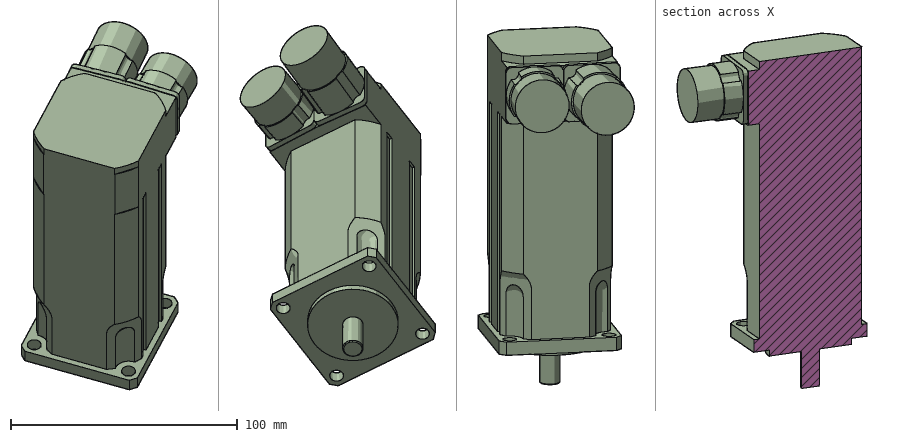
import cadquery as cq
import math

total_length = 155.0
shaft_length = 20.0
shaft_diameter = 9.0
shaft_chamfer = 0.5
pilot_diameter = 40.0
pilot_height = 2.8

flange_width = 55.0
flange_thickness = 6.0
flange_chamfer = 2.8
bolt_offset = 22.3
bolt_hole_diameter = 6.0

case_width = 49.8
case_corner_radius = 29.9

relief_radius = 28.0
relief_height = 22.6
relief_runout_radius = 15.0
bolt_slot_radius = 6.0
bolt_slot_height = 19.0

groove_width = 3.9
groove_depth = 1.1
groove_offset = 9.5

cap_thickness = 3.7
head_height = 25.4
head_chamfer = 8.0
head_reach = 30.2
face_tilt = 2.0

connector_width = 25.5
connector_depth = 16.1
plate_thickness = 2.3
plate_corner_radius = 2.5
barrel_diameter = 24.0
notch_radius = 2.8
notch_offset = 10.0
left_base_length = 15.3
left_barrel_length = 16.1
right_base_length = 8.8
right_barrel_length = 12.5

case_top = total_length - shaft_length
head_top = case_top - cap_thickness
head_bottom = head_top - head_height
connector_z = case_top - connector_depth
tilt = math.radians(face_tilt)


def corner_points(offset):
    return [(sx * offset, sy * offset) for sx in (-1, 1) for sy in (-1, 1)]


def case_prism(bottom, top):
    """Square prism whose corners are rounded about the shaft axis."""
    height = top - bottom
    square = cq.Workplane("XY", origin=(0, 0, bottom)).rect(case_width, case_width).extrude(height)
    round_bar = cq.Workplane("XY", origin=(0, 0, bottom)).circle(case_corner_radius).extrude(height)
    return square.intersect(round_bar)


def corner_relief():
    """Ring that trims the case corners and runs out upward along an arc."""
    outer = relief_radius + relief_runout_radius
    arc_start_z = flange_thickness + relief_height
    arc_mid = (
        outer - relief_runout_radius * math.cos(math.pi / 4),
        arc_start_z + relief_runout_radius * math.sin(math.pi / 4),
    )
    return (
        cq.Workplane("XZ")
        .moveTo(relief_radius, flange_thickness)
        .lineTo(relief_radius, arc_start_z)
        .threePointArc(arc_mid, (outer, arc_start_z + relief_runout_radius))
        .lineTo(outer, flange_thickness)
        .close()
        .revolve(360, (0, 0, 0), (0, 1, 0))
    )


def bolt_slots():
    """Round-topped clearances for the bolt heads, one in each corner."""
    slots = (
        cq.Workplane("XY", origin=(0, 0, flange_thickness))
        .pushPoints(corner_points(bolt_offset))
        .circle(bolt_slot_radius)
        .extrude(bolt_slot_height)
    )
    dome_z = flange_thickness + bolt_slot_height
    domes = (
        cq.Workplane("XY", origin=(0, 0, dome_z))
        .pushPoints(corner_points(bolt_offset))
        .sphere(bolt_slot_radius)
    )
    return slots.union(domes)


def side_grooves():
    """Shallow upright grooves in the two X sides, from the flange to the head."""
    height = head_bottom - flange_thickness
    points = [
        (sx * case_width / 2, sy * groove_offset)
        for sx in (-1, 1)
        for sy in (-1, 1)
    ]
    return (
        cq.Workplane("XY", origin=(0, 0, flange_thickness))
        .pushPoints(points)
        .rect(2 * groove_depth, groove_width)
        .extrude(height)
    )


def connector_head():
    """Block below the cap with two connector faces that meet at a shallow ridge."""
    half = case_width / 2
    side_reach = head_reach - half * math.tan(tilt)
    outline = [
        (-half + head_chamfer, -half),
        (half - head_chamfer, -half),
        (half, -half + head_chamfer),
        (half, side_reach),
        (0, head_reach),
        (-half, side_reach),
        (-half, -half + head_chamfer),
    ]
    return cq.Workplane("XY", origin=(0, 0, head_bottom)).polyline(outline).close().extrude(head_height)


def mounting_flange():
    return (
        cq.Workplane("XY")
        .rect(flange_width, flange_width)
        .extrude(flange_thickness)
        .edges("|Z")
        .chamfer(flange_chamfer)
        .faces(">Z")
        .workplane()
        .pushPoints(corner_points(bolt_offset))
        .hole(bolt_hole_diameter)
    )


def pilot_and_shaft():
    pilot = cq.Workplane("XY").circle(pilot_diameter / 2).extrude(-pilot_height)
    shaft = (
        cq.Workplane("XY")
        .circle(shaft_diameter / 2)
        .extrude(-shaft_length)
        .faces("<Z")
        .chamfer(shaft_chamfer)
    )
    return pilot.union(shaft)


def make_motor():
    lower_case = (
        case_prism(flange_thickness, head_bottom)
        .cut(corner_relief())
        .cut(bolt_slots())
        .cut(side_grooves())
    )
    return (
        lower_case
        .union(connector_head())
        .union(case_prism(head_top, case_top))
        .union(mounting_flange())
        .union(pilot_and_shaft())
    )


def make_connector(side, base_length, barrel_length):
    """Connector on the head face at the given X side (-1 or 1): plate, notched base and barrel."""
    half = connector_width / 2
    face = cq.Plane(
        origin=(side * half * math.cos(tilt), head_reach - half * math.sin(tilt), connector_z),
        xDir=(math.cos(tilt), -side * math.sin(tilt), 0),
        normal=(side * math.sin(tilt), math.cos(tilt), 0),
    )
    plate = (
        cq.Workplane(face)
        .sketch()
        .rect(connector_width, connector_width)
        .vertices()
        .fillet(plate_corner_radius)
        .finalize()
        .extrude(plate_thickness)
    )
    on_plate = cq.Workplane(face).workplane(offset=plate_thickness)
    notches = on_plate.pushPoints(corner_points(notch_offset)).circle(notch_radius).extrude(base_length)
    base = on_plate.circle(half).extrude(base_length).cut(notches)
    barrel = (
        on_plate.workplane(offset=base_length)
        .circle(barrel_diameter / 2)
        .extrude(barrel_length)
    )
    return plate.union(base).union(barrel)


motor = make_motor()
left_connector = make_connector(-1, left_base_length, left_barrel_length)
right_connector = make_connector(1, right_base_length, right_barrel_length)

result = cq.Compound.makeCompound([motor.val(), left_connector.val(), right_connector.val()])